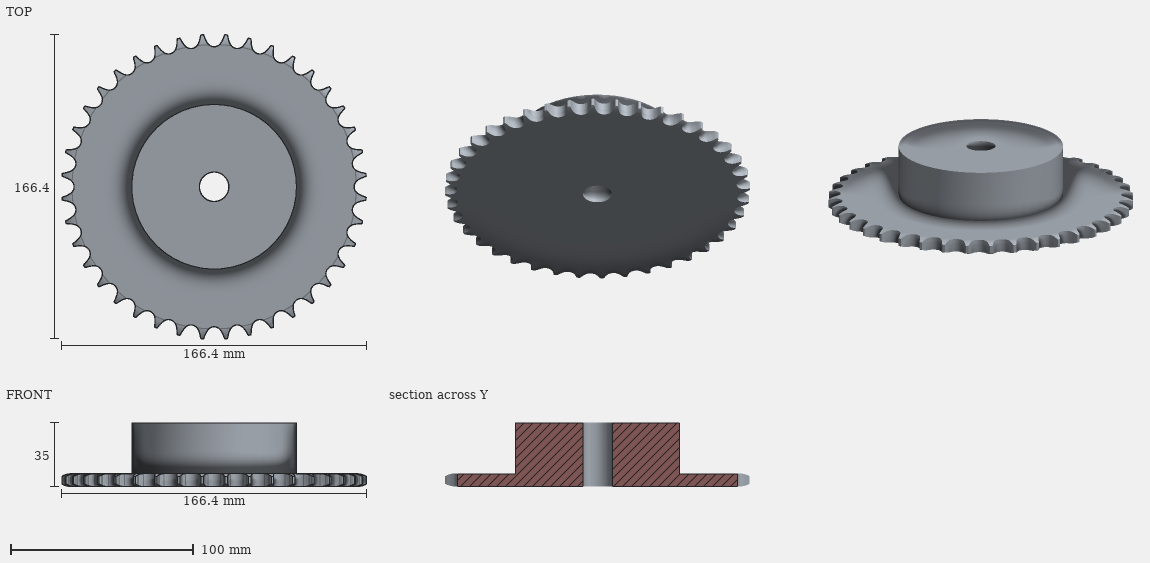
import cadquery as cq
import math


TOOTH_COUNT = 40
OUTER_WIDTH = 166.4
PITCH_DIAMETER = 161.9
PLATE_THICKNESS = 7.2

SEAT_RADIUS = 4.3
SEAT_ANGLE = 55 - 60 / TOOTH_COUNT
WORKING_RADIUS = 11.1
WORKING_ANGLE = 18 - 56 / TOOTH_COUNT
FLANK_LENGTH = 0.8
TIP_ARC_RADIUS = 7.5
GAP_OVERRUN = 0.8

SIDE_START_DIAMETER = 155.5
SIDE_RADIUS = 12.0

TOTAL_HEIGHT = 35.0
HUB_DIAMETER = 90.0
BORE_DIAMETER = 16.0


def polar(centre, radius, degrees):
    """Point on a circle, with the angle measured from the +X direction."""
    angle = math.radians(degrees)
    return (centre[0] + radius * math.cos(angle), centre[1] + radius * math.sin(angle))


SEAT_CENTRE = (PITCH_DIAMETER / 2, 0)
ROOT = polar(SEAT_CENTRE, SEAT_RADIUS, 180)
SEAT_END_DIRECTION = 180 - SEAT_ANGLE
FLANK_DIRECTION = SEAT_END_DIRECTION - WORKING_ANGLE
SEAT_END = polar(SEAT_CENTRE, SEAT_RADIUS, SEAT_END_DIRECTION)
WORKING_CENTRE = polar(SEAT_END, -WORKING_RADIUS, SEAT_END_DIRECTION)
WORKING_MIDDLE = polar(WORKING_CENTRE, WORKING_RADIUS, SEAT_END_DIRECTION - WORKING_ANGLE / 2)
WORKING_END = polar(WORKING_CENTRE, WORKING_RADIUS, FLANK_DIRECTION)
FLANK_END = polar(WORKING_END, FLANK_LENGTH, FLANK_DIRECTION - 90)
TIP_ARC_CENTRE = polar(FLANK_END, TIP_ARC_RADIUS, FLANK_DIRECTION)


def tip_arc_point(x):
    """Point of the convex tip arc at the given X."""
    return (x, TIP_ARC_CENTRE[1] - math.sqrt(TIP_ARC_RADIUS**2 - (x - TIP_ARC_CENTRE[0]) ** 2))


TOOTH_CORNER = tip_arc_point(OUTER_WIDTH / 2)
TIP_RADIUS = math.hypot(*TOOTH_CORNER)
GAP_END = tip_arc_point(TOOTH_CORNER[0] + GAP_OVERRUN)


def mirrored(point):
    """The same point on the other side of the X axis."""
    return (point[0], -point[1])


def side_drop(radius):
    """How far the rounded tooth side has fallen below the plate face."""
    return SIDE_RADIUS - math.sqrt(SIDE_RADIUS**2 - (radius - SIDE_START_DIAMETER / 2) ** 2)


def plate_blank():
    """Disc whose rim is thinned by an arc on its upper and lower side."""
    side_start = SIDE_START_DIAMETER / 2
    side_middle = (side_start + TIP_RADIUS) / 2
    middle_drop = side_drop(side_middle)
    tip_drop = side_drop(TIP_RADIUS)
    return (
        cq.Workplane("XZ")
        .lineTo(side_start, 0)
        .threePointArc((side_middle, middle_drop), (TIP_RADIUS, tip_drop))
        .lineTo(TIP_RADIUS, PLATE_THICKNESS - tip_drop)
        .threePointArc((side_middle, PLATE_THICKNESS - middle_drop), (side_start, PLATE_THICKNESS))
        .lineTo(0, PLATE_THICKNESS)
        .close()
        .revolve(360, (0, 0, 0), (0, 1, 0))
    )


def tooth_gap():
    """Cutter for the gap centred on the X axis."""
    return (
        cq.Workplane("XY")
        .moveTo(*mirrored(GAP_END))
        .threePointArc(mirrored(TOOTH_CORNER), mirrored(FLANK_END))
        .lineTo(*mirrored(WORKING_END))
        .threePointArc(mirrored(WORKING_MIDDLE), mirrored(SEAT_END))
        .threePointArc(ROOT, SEAT_END)
        .threePointArc(WORKING_MIDDLE, WORKING_END)
        .lineTo(*FLANK_END)
        .threePointArc(TOOTH_CORNER, GAP_END)
        .close()
        .extrude(PLATE_THICKNESS)
    )


def toothed_plate():
    """Plate with one gap cut per tooth, the first one on the X axis."""
    plate = plate_blank()
    gap = tooth_gap()
    for index in range(TOOTH_COUNT):
        plate = plate.cut(gap.rotate((0, 0, 0), (0, 0, 1), index * 360 / TOOTH_COUNT))
    return plate


hub = cq.Workplane("XY").circle(HUB_DIAMETER / 2).extrude(TOTAL_HEIGHT)
bore = cq.Workplane("XY").circle(BORE_DIAMETER / 2).extrude(TOTAL_HEIGHT)

result = toothed_plate().union(hub).cut(bore)